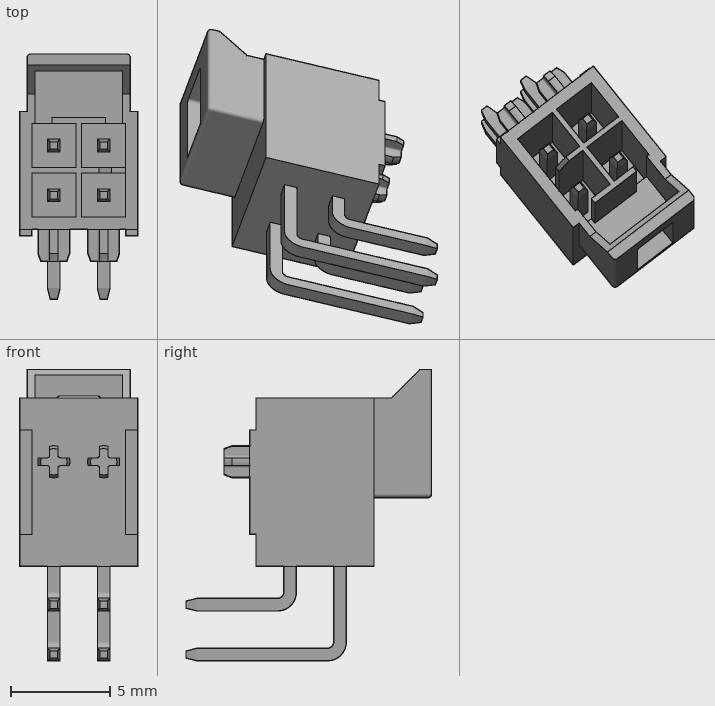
import cadquery as cq
import math


body_width = 5.94
body_depth = 5.94
body_height = 8.47
wall = 0.62
floor_z = 1.76
cavity_width = body_width - 2 * wall
cell_pitch = 2.5
center_y = body_depth / 2

rib = 0.26
stop_bar_depth = 0.3
stop_bar_width = 2.67
notch_start = 1.01
notch_width = 0.65
notch_sill = 0.59
notch_floor_z = floor_z + notch_sill

latch_width = 5.19
latch_inner_width = 4.4
latch_rear = 8.83
latch_rear_wall = 0.86
latch_top = 9.91
latch_top_depth = 0.57
latch_bottom = 3.45
latch_floor_z = 3.96
latch_rounding = 0.19
window_width = 2.26
window_rise = 0.09
window_top = body_height + window_rise

pad_width = 0.62
pad_depth = 0.32
pad_margin = 1.61

peg_diameter = 1.61
peg_length = 1.61
peg_z = 5.26
peg_upright_arm = 0.43
peg_level_arm = 0.4
peg_taper_length = 0.4
peg_taper_inset = 0.15
peg_corner_rounding = 0.12

pin = 0.65
pin_tip = 0.37
pin_taper = 0.55
pin_recess = 1.47
pin_top = body_height - pin_recess
leg_reach = 3.52
lowest_z = -4.75
bend_inner_radius = 0.31


def block(x_min, x_max, y_min, y_max, z_min, z_max):
    """Axis-aligned box given by its limits."""
    size = (x_max - x_min, y_max - y_min, z_max - z_min)
    return cq.Workplane("XY").box(*size, centered=False).translate((x_min, y_min, z_min))


def centered_block(width, y_min, y_max, z_min, z_max):
    """Box that is symmetric about the X = 0 plane."""
    return block(-width / 2, width / 2, y_min, y_max, z_min, z_max)


def make_latch_box():
    """Sloped box behind the housing, with its rear and lower edges rounded."""
    slope = latch_top - body_height
    slope_rear = latch_rear - latch_top_depth
    box = (
        cq.Workplane("YZ")
        .moveTo(center_y, latch_bottom)
        .lineTo(latch_rear, latch_bottom)
        .lineTo(latch_rear, latch_top)
        .lineTo(slope_rear, latch_top)
        .lineTo(slope_rear - slope, body_height)
        .lineTo(center_y, body_height)
        .close()
        .extrude(latch_width / 2, both=True)
    )
    box = box.edges("|Z and >Y").fillet(latch_rounding)
    return box.faces("<Z").edges("|Y").fillet(latch_rounding)


def make_window():
    """Cutter for the opening in the rear wall of the latch box."""
    window = centered_block(window_width, center_y, latch_rear, latch_floor_z, window_top)
    return window.edges("|Y and >Z").fillet(latch_rounding)


def make_ribs():
    """Crossed ribs between the cells, closed at the rear by a stop bar."""
    cavity_rear = body_depth - wall
    lengthwise = centered_block(rib, wall, cavity_rear, floor_z, body_height)
    crosswise = centered_block(
        cavity_width, center_y - rib / 2, center_y + rib / 2, floor_z, body_height
    )
    stop_bar = centered_block(
        stop_bar_width, cavity_rear, cavity_rear + stop_bar_depth, latch_floor_z, body_height
    )
    notch_end = notch_start + notch_width
    notch = (
        cq.Workplane("XZ", origin=(0, center_y, 0))
        .moveTo(notch_start, body_height)
        .lineTo(notch_end, body_height - notch_width)
        .lineTo(notch_end, notch_floor_z)
        .lineTo(cavity_width / 2, notch_floor_z)
        .lineTo(cavity_width / 2, body_height)
        .close()
        .extrude(rib, both=True)
    )
    return lengthwise.union(crosswise.cut(notch)).union(stop_bar)


def make_housing():
    """Housing with its cells, latch box and front pads."""
    housing = centered_block(body_width, 0, body_depth, 0, body_height).union(make_latch_box())
    cavity = centered_block(cavity_width, wall, body_depth - wall, floor_z, body_height)
    latch_cavity = centered_block(
        latch_inner_width, center_y, latch_rear - latch_rear_wall, latch_floor_z, latch_top
    )
    housing = housing.cut(cavity).cut(latch_cavity).cut(make_window()).union(make_ribs())
    for side in (-1, 1):
        pad = centered_block(pad_width, -pad_depth, wall / 2, pad_margin, body_height - pad_margin)
        housing = housing.union(pad.translate((side * (body_width - pad_width) / 2, 0, 0)))
    return housing


def make_peg(x):
    """Cross-shaped peg with a tapered end, pointing to -Y."""
    envelope = (
        cq.Workplane("XZ", origin=(x, 0, peg_z))
        .circle(peg_diameter / 2)
        .extrude(peg_length)
        .faces("<Y")
        .chamfer(peg_taper_length, peg_taper_inset)
    )
    upright = centered_block(peg_upright_arm, -peg_length, 0, -peg_diameter / 2, peg_diameter / 2)
    level = centered_block(peg_diameter, -peg_length, 0, -peg_level_arm / 2, peg_level_arm / 2)
    inner_corners = cq.selectors.BoxSelector(
        (-peg_upright_arm, -peg_length, -peg_level_arm), (peg_upright_arm, 0, peg_level_arm)
    )
    cross = upright.union(level).edges("|Y").edges(inner_corners).fillet(peg_corner_rounding)
    return envelope.intersect(cross.translate((x, 0, peg_z)))


def make_pin(x, y, leg_z):
    """Square pin that rises at (x, y), bends below the housing and runs out to -Y at leg_z."""
    bend_radius = bend_inner_radius + pin / 2
    upright_end = pin_top - pin_taper
    leg_end = -leg_reach + pin_taper
    diagonal = bend_radius * (1 - math.sqrt(0.5))
    path = (
        cq.Workplane("YZ", origin=(x, 0, 0))
        .moveTo(y, upright_end)
        .lineTo(y, leg_z + bend_radius)
        .threePointArc((y - diagonal, leg_z + diagonal), (y - bend_radius, leg_z))
        .lineTo(leg_end, leg_z)
    )
    shank = cq.Workplane("XY", origin=(x, y, upright_end)).rect(pin, pin).sweep(path)
    upper_tip = (
        cq.Workplane("XY", origin=(x, y, upright_end))
        .rect(pin, pin)
        .workplane(offset=pin_taper)
        .rect(pin_tip, pin_tip)
        .loft()
    )
    leg_tip = (
        cq.Workplane("XZ", origin=(x, leg_end, leg_z))
        .rect(pin, pin)
        .workplane(offset=pin_taper)
        .rect(pin_tip, pin_tip)
        .loft()
    )
    return shank.union(upper_tip).union(leg_tip)


result = make_housing()
lower_leg_z = lowest_z + pin / 2
for x in (-cell_pitch / 2, cell_pitch / 2):
    result = result.union(make_peg(x))
    result = result.union(make_pin(x, center_y + cell_pitch / 2, lower_leg_z))
    result = result.union(make_pin(x, center_y - cell_pitch / 2, lower_leg_z + cell_pitch))